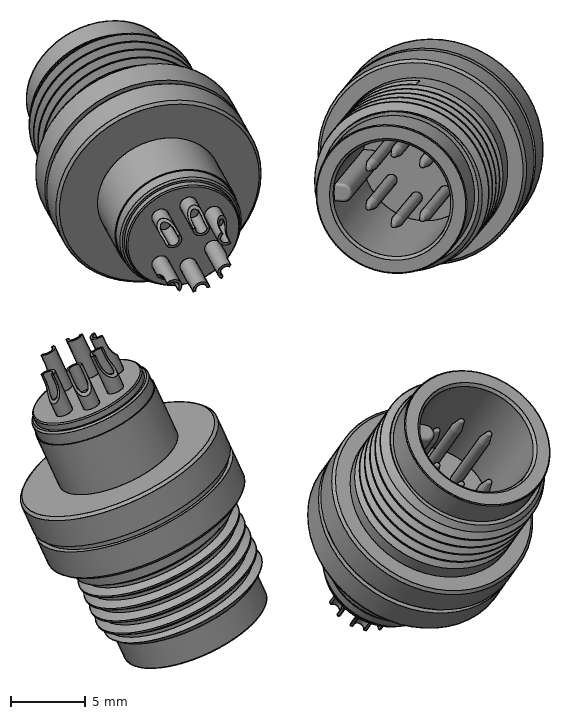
import cadquery as cq
import math

TOTAL_LENGTH = 22.0

NOSE_DIA = 10.5
NOSE_LENGTH = 2.2
NOSE_CHAMFER = 0.07
BORE_DIA = 8.18
BORE_CHAMFER = 0.2
FLANGE_DIA = 14.5
FLANGE_START = 8.5
FLANGE_END = 13.5
FLANGE_CHAMFER = 0.2
FLANGE_GROOVE_WIDTH = 0.45
FLANGE_GROOVE_DEPTH = 0.3

THREAD_DIA = 12.0
THREAD_PITCH = THREAD_DIA / 12
THREAD_END = 7.44
THREAD_TURNS = 6
THREAD_LEAD_DIA = 11.05
FLANK_SLOPE = math.tan(math.radians(30))
CREST_FLAT = THREAD_PITCH / 8
ROOT_FLAT = THREAD_PITCH / 4
THREAD_DEPTH = (THREAD_PITCH - CREST_FLAT - ROOT_FLAT) / (2 * FLANK_SLOPE)
CUTTER_OVERRUN = 0.07

SLEEVE_DIA = 8.73
SLEEVE_STEP_DIA = 8.58
SLEEVE_STEP_START = 17.51
SLEEVE_END = 18.48
SLEEVE_CHAMFER = 0.13

INSERT_FLOOR = FLANGE_START
INSERT_END = 18.99
INSERT_REAR_DIA = 8.0
INSERT_CHAMFER = 0.09
KEY_WIDTH = 1.25
KEY_INNER_EDGE = 2.88
KEY_START = 0.5
KEY_ROUND = 0.2

PIN_CIRCLE_RADIUS = 2.5
PIN_ANGLES = [33.3, 82, 130.7]
PIN_START = 2.05
PIN_DIA = 0.8
PIN_TIP_DIA = 0.35
PIN_TIP_LENGTH = 1.03
PIN_TIP_ROUND = 0.09
PIN_STEP = (INSERT_FLOOR + INSERT_END) / 2
CUP_DIA = 1.19
CUP_BORE_DIA = 0.81
CUP_START = 20.0
CUP_CUT_RADIUS = 2.0


def revolve_about_x(points):
    """Revolve an (X, radius) outline around the X axis."""
    return cq.Workplane("XY").polyline(points).close().revolve(360, (0, 0, 0), (1, 0, 0))


def rod(diameter, start, end):
    """Cylinder on the X axis from start to end."""
    return cq.Workplane("YZ").workplane(offset=start).circle(diameter / 2).extrude(end - start)


def thread_groove():
    """Helical V groove with a flat root that stops abruptly above the axis at THREAD_END."""
    root_radius = THREAD_DIA / 2 - THREAD_DEPTH
    top_radius = THREAD_DIA / 2 + CUTTER_OVERRUN
    half_root = ROOT_FLAT / 2
    half_top = half_root + (top_radius - root_radius) * FLANK_SLOPE
    helix_length = THREAD_TURNS * THREAD_PITCH
    helix = cq.Workplane(cq.Wire.makeHelix(THREAD_PITCH, helix_length, root_radius))
    cutter = (
        cq.Workplane("XZ")
        .polyline([
            (root_radius, -half_root),
            (top_radius, -half_top),
            (top_radius, half_top),
            (root_radius, half_root),
        ])
        .close()
        .sweep(helix, isFrenet=True)
    )
    cutter = cutter.rotate((0, 0, 0), (0, 0, 1), 180).rotate((0, 0, 0), (0, 1, 0), 90)
    return cutter.translate((THREAD_END - helix_length, 0, 0))


def make_housing():
    """Nose, thread and grooved flange with a bore right through."""
    lead = (THREAD_DIA - THREAD_LEAD_DIA) / 2
    nose = rod(NOSE_DIA, 0, NOSE_LENGTH).faces("<X").chamfer(NOSE_CHAMFER)
    thread = rod(THREAD_DIA, NOSE_LENGTH, FLANGE_START).faces("<X").chamfer(lead)
    thread = thread.cut(thread_groove())
    flange = rod(FLANGE_DIA, FLANGE_START, FLANGE_END).faces("<X or >X").chamfer(FLANGE_CHAMFER)
    groove_start = (FLANGE_START + FLANGE_END - FLANGE_GROOVE_WIDTH) / 2
    groove_end = groove_start + FLANGE_GROOVE_WIDTH
    groove = rod(FLANGE_DIA, groove_start, groove_end).cut(
        rod(FLANGE_DIA - 2 * FLANGE_GROOVE_DEPTH, groove_start, groove_end)
    )
    bore = rod(BORE_DIA, 0, FLANGE_END)
    bore_radius = BORE_DIA / 2
    countersink = revolve_about_x([
        (0, 0),
        (0, bore_radius + BORE_CHAMFER),
        (BORE_CHAMFER, bore_radius),
        (BORE_CHAMFER, 0),
    ])
    return nose.union(thread).union(flange.cut(groove)).cut(bore).cut(countersink)


def make_sleeve():
    """Stepped sleeve that butts against the back of the flange."""
    wide = rod(SLEEVE_DIA, FLANGE_END, SLEEVE_STEP_START)
    narrow = rod(SLEEVE_STEP_DIA, SLEEVE_STEP_START, SLEEVE_END).faces(">X").chamfer(SLEEVE_CHAMFER)
    return wide.union(narrow).cut(rod(INSERT_REAR_DIA, FLANGE_END, SLEEVE_END))


def make_key():
    """Round-nosed rib along the +Y side of the bore, ending flush with the bore wall."""
    length = INSERT_FLOOR - KEY_START
    nose_centre = KEY_INNER_EDGE + KEY_WIDTH / 2
    plane = cq.Workplane("YZ").workplane(offset=KEY_START)
    nose = plane.center(nose_centre, 0).circle(KEY_WIDTH / 2).extrude(length)
    straight = plane.center(nose_centre + KEY_WIDTH / 2, 0).rect(KEY_WIDTH, KEY_WIDTH).extrude(length)
    key = nose.union(straight).faces("<X").fillet(KEY_ROUND)
    return key.intersect(rod(BORE_DIA, KEY_START, INSERT_FLOOR))


def make_insert(pins):
    """Stepped insulator with the key on its front face and a fitted hole for each pin."""
    front = rod(BORE_DIA, INSERT_FLOOR, FLANGE_END)
    rear = rod(INSERT_REAR_DIA, FLANGE_END, INSERT_END).faces(">X").chamfer(INSERT_CHAMFER)
    insert = front.union(rear).union(make_key())
    for pin in pins:
        insert = insert.cut(pin)
    return insert


def make_pin(angle):
    """Contact pin at an angle from +Y; its solder cup opens away from the axis."""
    pin = revolve_about_x([
        (PIN_START, 0),
        (PIN_START, PIN_TIP_DIA / 2),
        (PIN_START + PIN_TIP_LENGTH, PIN_DIA / 2),
        (PIN_STEP, PIN_DIA / 2),
        (PIN_STEP, CUP_DIA / 2),
        (TOTAL_LENGTH, CUP_DIA / 2),
        (TOTAL_LENGTH, 0),
    ])
    pin = pin.faces("<X").edges().fillet(PIN_TIP_ROUND)
    cup_radius = CUP_DIA / 2
    sweep_angle = math.acos(1 - cup_radius / CUP_CUT_RADIUS)
    cut_end = CUP_START + CUP_CUT_RADIUS * math.sin(sweep_angle)
    arc_middle = (
        cut_end - CUP_CUT_RADIUS * math.sin(sweep_angle / 2),
        CUP_CUT_RADIUS * (1 - math.cos(sweep_angle / 2)),
    )
    opening = (
        cq.Workplane("XY")
        .moveTo(CUP_START, cup_radius)
        .threePointArc(arc_middle, (cut_end, 0))
        .lineTo(TOTAL_LENGTH, 0)
        .lineTo(TOTAL_LENGTH, cup_radius)
        .close()
        .extrude(CUP_DIA, both=True)
    )
    cup_bore = rod(CUP_BORE_DIA, CUP_START, TOTAL_LENGTH)
    pin = pin.cut(opening).cut(cup_bore).translate((0, PIN_CIRCLE_RADIUS, 0))
    return pin.rotate((0, 0, 0), (1, 0, 0), angle)


pins = [make_pin(side * angle) for side in (1, -1) for angle in PIN_ANGLES]
housing = make_housing()
sleeve = make_sleeve()
insert = make_insert(pins)

result = cq.Compound.makeCompound([
    housing.val(),
    sleeve.val(),
    insert.val(),
    *[pin.val() for pin in pins],
])